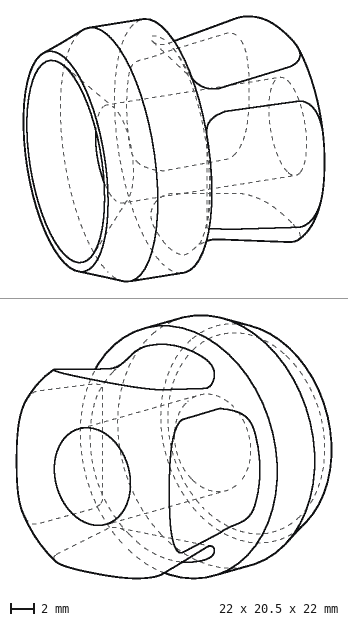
import cadquery as cq
import math

length = 20.5
collar_radius = 11.0
nose_length = 4.0
nose_angle = math.radians(20)
collar_end = 9.0
nose_radius = collar_radius - nose_length * math.tan(nose_angle)

bore_radius = 4.25
entry_radius = 8.75
entry_depth = entry_radius - bore_radius

flare_angle = math.radians(10)
fillet_radius = 2.0
rim_radius = 2.0
corner_neck_radius = 8.8
flat_neck_distance = 7.0
neck_land = 0.35
flats_end = 9.5
cutter_size = 2 * collar_radius


def neck_points(neck_radius, foot_station):
    """Quarter-round fillet rising from the foot, then a short straight land before the flare."""
    center_radius = neck_radius + fillet_radius
    center_station = foot_station + fillet_radius
    fillet_mid_offset = fillet_radius * math.sqrt(0.5)
    return {
        "foot": (center_radius, foot_station),
        "fillet_mid": (center_radius - fillet_mid_offset, center_station - fillet_mid_offset),
        "neck": (neck_radius, center_station),
        "flare": (neck_radius, center_station + neck_land),
    }


def flare_radius_at(station, flare_start):
    """Radius of the flare that begins at flare_start, at a given station."""
    start_radius, start_station = flare_start
    return start_radius + (station - start_station) * math.tan(flare_angle)


def turned_body():
    """Collar, tapered nose and round flared head as one solid of revolution."""
    neck = neck_points(corner_neck_radius, collar_end)
    rim_center_station = length - rim_radius
    rim_center_radius = (
        flare_radius_at(rim_center_station, neck["flare"]) - rim_radius / math.cos(flare_angle)
    )

    def on_rim(angle):
        return (
            rim_center_radius + rim_radius * math.cos(angle),
            rim_center_station + rim_radius * math.sin(angle),
        )

    rim_mid_angle = (math.pi / 2 - flare_angle) / 2
    profile = (
        cq.Workplane("XY")
        .moveTo(0, 0)
        .lineTo(nose_radius, 0)
        .lineTo(collar_radius, nose_length)
        .lineTo(collar_radius, collar_end)
        .lineTo(*neck["foot"])
        .threePointArc(neck["fillet_mid"], neck["neck"])
        .lineTo(*neck["flare"])
        .lineTo(*on_rim(-flare_angle))
        .threePointArc(on_rim(rim_mid_angle), on_rim(math.pi / 2))
        .lineTo(0, length)
        .close()
    )
    return profile.revolve(360, (0, 0, 0), (0, 1, 0))


def flat_cutter():
    """Removes the material outside the flat on the +X side of the head."""
    neck = neck_points(flat_neck_distance, flats_end)
    return (
        cq.Workplane("XY")
        .moveTo(cutter_size, flats_end)
        .lineTo(*neck["foot"])
        .threePointArc(neck["fillet_mid"], neck["neck"])
        .lineTo(*neck["flare"])
        .lineTo(flare_radius_at(length, neck["flare"]), length)
        .lineTo(cutter_size, length)
        .close()
        .extrude(cutter_size / 2, both=True)
    )


def bore():
    """Through bore with its conical entry at the front face."""
    profile = (
        cq.Workplane("XY")
        .moveTo(0, 0)
        .lineTo(entry_radius, 0)
        .lineTo(bore_radius, entry_depth)
        .lineTo(bore_radius, length)
        .lineTo(0, length)
        .close()
    )
    return profile.revolve(360, (0, 0, 0), (0, 1, 0))


result = turned_body()
for quarter_turn in range(4):
    result = result.cut(flat_cutter().rotate((0, 0, 0), (0, 1, 0), 90 * quarter_turn))
result = result.cut(bore())